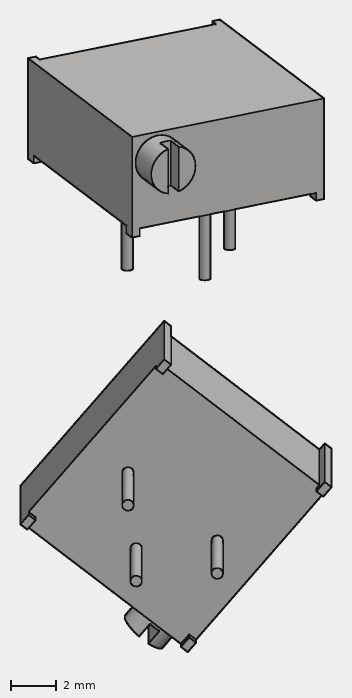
import cadquery as cq

overall_length = 11.55
housing_length = 10.04
housing_width = 9.53
housing_height = 4.83
foot_height = 0.37
foot_length = 0.58
side_wall = 0.39
end_recess_depth = 0.37

screw_diameter = 2.2
screw_inset = 1.27
slot_width = 0.53
slot_depth = 0.76
screw_length = overall_length - housing_length

overall_height = 8.54
pin_diameter = 0.51
pin_pitch = 2.54
outer_pin_x = 5.25

housing_top = overall_height
foot_bottom = housing_top - housing_height
floor_z = foot_bottom + foot_height
inner_width = housing_width - 2 * side_wall
pin_positions = [
    (outer_pin_x, -pin_pitch),
    (outer_pin_x + pin_pitch, 0),
    (outer_pin_x, pin_pitch),
]


def centered_box(length, width, height, x, z):
    """Box centred on Y = 0, starting at the given X and Z."""
    return cq.Workplane("XY").box(length, width, height, centered=(False, True, False)).translate((x, 0, z))


def make_housing():
    block = centered_box(housing_length, housing_width, housing_height, 0, foot_bottom)
    end_recess = centered_box(end_recess_depth, inner_width, housing_height, 0, foot_bottom)
    clearance_between_ends = centered_box(
        housing_length - 2 * foot_length, housing_width, foot_height, foot_length, foot_bottom
    )
    clearance_between_sides = centered_box(housing_length, inner_width, foot_height, 0, foot_bottom)
    return block.cut(end_recess).cut(clearance_between_ends).cut(clearance_between_sides)


def make_screw():
    screw_y = screw_inset - housing_width / 2
    screw_z = housing_top - screw_inset
    shank = (
        cq.Workplane("YZ", origin=(housing_length, screw_y, screw_z))
        .circle(screw_diameter / 2)
        .extrude(screw_length)
    )
    slot = (
        cq.Workplane("XY")
        .box(slot_depth, slot_width, screw_diameter)
        .translate((overall_length - slot_depth / 2, screw_y, screw_z))
    )
    return shank.cut(slot)


def make_pin(x, y):
    return cq.Workplane("XY", origin=(x, y, 0)).circle(pin_diameter / 2).extrude(floor_z)


housing = make_housing()
screw = make_screw()
pins = [make_pin(x, y) for x, y in pin_positions]

result = cq.Compound.makeCompound([housing.val(), screw.val(), *[pin.val() for pin in pins]])